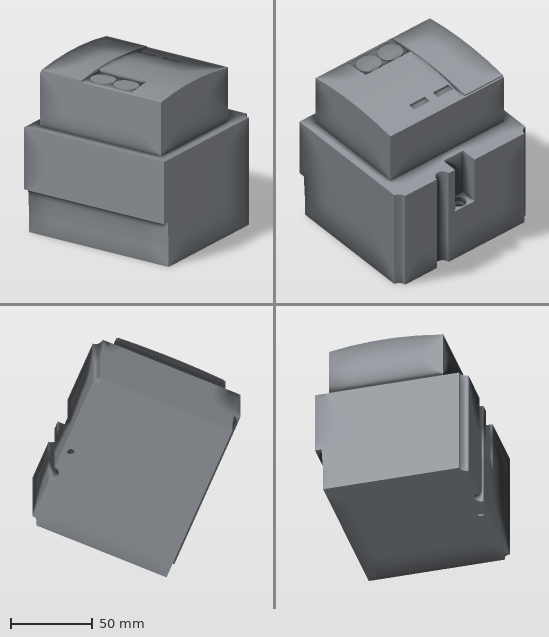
import cadquery as cq

WIDTH = 104.5
DEPTH = 96.9
BASE_HEIGHT = 71.0
HEIGHT = 110.6

STEP_Z = 29.9
STEP_DEPTH = 4.2
TAPER_END_Z = 14.2
FOOT_DEPTH = 5.2

NOTCH_RADIUS = 4.6
NOTCH_X = 69.8
SEAT_WIDTH = 15.6
SEAT_FRONT_Y = 85.7
SEAT_DEPTH = 33.2
SCREW_Y = 91.4
SCREW_DIAMETER = 4.3
SCREW_HEAD_DIAMETER = 9.3
SCREW_HEAD_DEPTH = 3.3

UPPER_MARGIN = 7.1
UPPER_RIGHT = WIDTH - UPPER_MARGIN
UPPER_BACK = 80.0
LEDGE_Z = 106.7

CROWN_TOP = 109.6
CROWN_BACK = 77.2
CROWN_SIDE_RUN = 2.1

LID_INSET = 1.0
LID_RIGHT = 37.4
LID_FRONT = UPPER_MARGIN + LID_INSET
LID_BACK = UPPER_BACK - LID_INSET
LID_EDGE_Z = 107.7

POCKET_FRONT = 9.4
POCKET_BACK = 26.5
POCKET_RIGHT = 73.6

BUTTON_WIDTH = 16.6
BUTTON_DEPTH = 14.4
BUTTON_TOP = 107.7
BUTTON_FIRST_X = 46.7
BUTTON_PITCH = 17.4
BUTTON_Y = 17.9
BUTTON_COUNT = 2

WINDOW_WIDTH = 12.6
WINDOW_FRONT = 65.3
WINDOW_BACK = 70.1
WINDOW_FIRST_LEFT = 39.3
WINDOW_PITCH = 18.9
WINDOW_COUNT = 2


def box(left, right, front, back, bottom, top):
    """Block between the given limits."""
    size = (right - left, back - front, top - bottom)
    return cq.Workplane("XY").box(*size, centered=False).translate((left, front, bottom))


def post(x, y, diameter, bottom, top):
    """Vertical cylinder."""
    return cq.Workplane("XY", origin=(x, y, bottom)).circle(diameter / 2).extrude(top - bottom)


def make_base():
    profile = [
        (FOOT_DEPTH, 0),
        (FOOT_DEPTH, TAPER_END_Z),
        (STEP_DEPTH, STEP_Z),
        (0, STEP_Z),
        (0, BASE_HEIGHT),
        (DEPTH, BASE_HEIGHT),
        (DEPTH, 0),
    ]
    base = cq.Workplane("YZ").polyline(profile).close().extrude(WIDTH)

    for x in (0, NOTCH_X, WIDTH):
        base = base.cut(post(x, DEPTH, 2 * NOTCH_RADIUS, 0, BASE_HEIGHT))

    seat_left = (WIDTH - SEAT_WIDTH) / 2
    seat_z = BASE_HEIGHT - SEAT_DEPTH
    base = base.cut(box(seat_left, seat_left + SEAT_WIDTH, SEAT_FRONT_Y, DEPTH, seat_z, BASE_HEIGHT))
    base = base.cut(post(WIDTH / 2, SCREW_Y, SCREW_DIAMETER, 0, seat_z))
    return base.cut(post(WIDTH / 2, SCREW_Y, SCREW_HEAD_DIAMETER, seat_z - SCREW_HEAD_DEPTH, seat_z))


def make_crown():
    arch_height = CROWN_TOP - LEDGE_Z
    crown = (
        cq.Workplane("YZ", origin=(LID_RIGHT, 0, 0))
        .moveTo(UPPER_MARGIN, LEDGE_Z)
        .threePointArc(((UPPER_MARGIN + CROWN_BACK) / 2, CROWN_TOP), (CROWN_BACK, LEDGE_Z))
        .close()
        .extrude(UPPER_RIGHT - LID_RIGHT)
    )
    side_wedge = (
        cq.Workplane("XZ")
        .moveTo(LID_RIGHT, LEDGE_Z)
        .line(CROWN_SIDE_RUN, 0)
        .line(-CROWN_SIDE_RUN, arch_height)
        .close()
        .extrude(-DEPTH)
    )
    crown = crown.cut(side_wedge)
    crown = crown.cut(box(LID_RIGHT, POCKET_RIGHT, POCKET_FRONT, POCKET_BACK, LEDGE_Z, HEIGHT))
    for i in range(WINDOW_COUNT):
        left = WINDOW_FIRST_LEFT + i * WINDOW_PITCH
        crown = crown.cut(box(left, left + WINDOW_WIDTH, WINDOW_FRONT, WINDOW_BACK, LEDGE_Z, HEIGHT))
    return crown


def make_housing():
    upper = box(UPPER_MARGIN, UPPER_RIGHT, UPPER_MARGIN, UPPER_BACK, BASE_HEIGHT, LEDGE_Z)
    return make_base().union(upper).union(make_crown())


def make_lid():
    return (
        cq.Workplane("YZ", origin=(UPPER_MARGIN, 0, 0))
        .moveTo(LID_FRONT, LEDGE_Z)
        .lineTo(LID_FRONT, LID_EDGE_Z)
        .threePointArc(((LID_FRONT + LID_BACK) / 2, HEIGHT), (LID_BACK, LID_EDGE_Z))
        .lineTo(LID_BACK, LEDGE_Z)
        .close()
        .extrude(LID_RIGHT - UPPER_MARGIN)
    )


def make_button(x):
    return (
        cq.Workplane("XY", origin=(x, BUTTON_Y, LEDGE_Z))
        .ellipse(BUTTON_WIDTH / 2, BUTTON_DEPTH / 2)
        .extrude(BUTTON_TOP - LEDGE_Z)
    )


housing = make_housing()
lid = make_lid()
buttons = [make_button(BUTTON_FIRST_X + i * BUTTON_PITCH) for i in range(BUTTON_COUNT)]

result = cq.Compound.makeCompound([housing.val(), lid.val(), *[button.val() for button in buttons]])